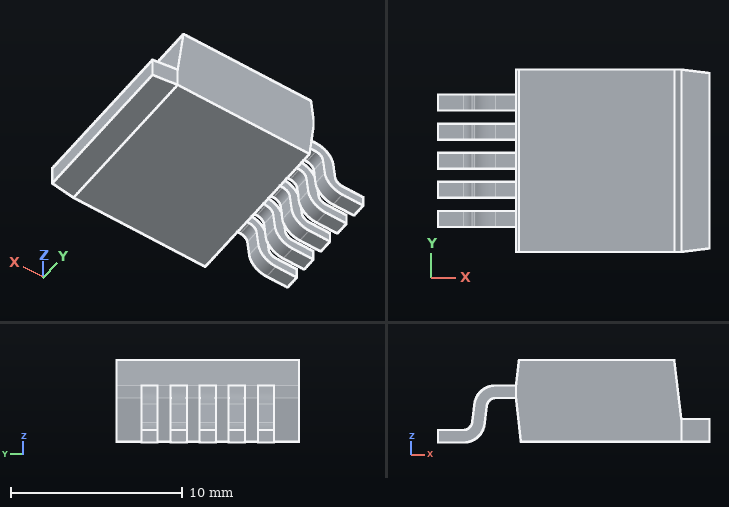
import cadquery as cq
import math

total_length = 15.88
package_width = 10.67
package_height = 4.85
standoff = 0.05

lead_count = 5
lead_pitch = 1.7
lead_width = 0.95
lead_thickness = 0.75
lead_top = 3.35
inner_bend_radius = 0.51
outer_bend_radius = inner_bend_radius + lead_thickness
foot_length = 1.5
lead_lean = math.radians(7.0)

front_face_x = 4.55
front_top_x = 4.73
front_bottom_x = 4.85
rear_top_x = 13.82
rear_face_x = 14.23

tab_top = 1.4
tab_side_inset = 0.2


def extruded_profile(profile, width, center_y=0.0):
    """Extrude a closed XZ profile to a width centered on center_y."""
    return profile.extrude(width / 2, both=True).translate((0, center_y, 0))


def arc_point(center, radius, angle):
    """Point on a circle, with the angle counted from +X toward +Z."""
    return (center[0] + radius * math.cos(angle), center[1] + radius * math.sin(angle))


def make_housing():
    profile = (
        cq.Workplane("XZ")
        .moveTo(front_bottom_x, standoff)
        .lineTo(front_face_x, lead_top - lead_thickness)
        .lineTo(front_face_x, lead_top)
        .lineTo(front_top_x, package_height)
        .lineTo(rear_top_x, package_height)
        .lineTo(rear_face_x, tab_top)
        .lineTo(rear_face_x, standoff)
        .close()
    )
    return extruded_profile(profile, package_width)


def make_tab():
    half_width = package_width / 2
    end_half_width = half_width - tab_side_inset
    return (
        cq.Workplane("XY")
        .workplane(offset=standoff)
        .moveTo(rear_face_x, -half_width)
        .lineTo(total_length, -end_half_width)
        .lineTo(total_length, end_half_width)
        .lineTo(rear_face_x, half_width)
        .close()
        .extrude(tab_top - standoff)
    )


def make_lead(center_y):
    radius_sum = inner_bend_radius + outer_bend_radius
    center_rise = lead_top - 2 * outer_bend_radius
    slope_length = (center_rise + radius_sum * math.sin(lead_lean)) / math.cos(lead_lean)
    center_run = radius_sum * math.cos(lead_lean) + slope_length * math.sin(lead_lean)

    lower_center = (foot_length, outer_bend_radius)
    upper_center = (foot_length + center_run, lead_top - outer_bend_radius)
    lower_start = -math.pi / 2
    lower_end = -lead_lean
    lower_middle = (lower_start + lower_end) / 2
    upper_start = lower_start + math.pi
    upper_end = lower_end + math.pi
    upper_middle = lower_middle + math.pi

    profile = (
        cq.Workplane("XZ")
        .moveTo(0, 0)
        .lineTo(foot_length, 0)
        .threePointArc(
            arc_point(lower_center, outer_bend_radius, lower_middle),
            arc_point(lower_center, outer_bend_radius, lower_end),
        )
        .lineTo(*arc_point(upper_center, inner_bend_radius, upper_end))
        .threePointArc(
            arc_point(upper_center, inner_bend_radius, upper_middle),
            arc_point(upper_center, inner_bend_radius, upper_start),
        )
        .lineTo(front_face_x, lead_top - lead_thickness)
        .lineTo(front_face_x, lead_top)
        .lineTo(upper_center[0], lead_top)
        .threePointArc(
            arc_point(upper_center, outer_bend_radius, upper_middle),
            arc_point(upper_center, outer_bend_radius, upper_end),
        )
        .lineTo(*arc_point(lower_center, inner_bend_radius, lower_end))
        .threePointArc(
            arc_point(lower_center, inner_bend_radius, lower_middle),
            arc_point(lower_center, inner_bend_radius, lower_start),
        )
        .lineTo(0, lead_thickness)
        .close()
    )
    return extruded_profile(profile, lead_width, center_y)


housing = make_housing()
tab = make_tab()

leads = []
for index in range(lead_count):
    lead_y = (index - (lead_count - 1) / 2) * lead_pitch
    leads.append(make_lead(lead_y))

result = cq.Compound.makeCompound([housing.val(), tab.val(), *[lead.val() for lead in leads]])